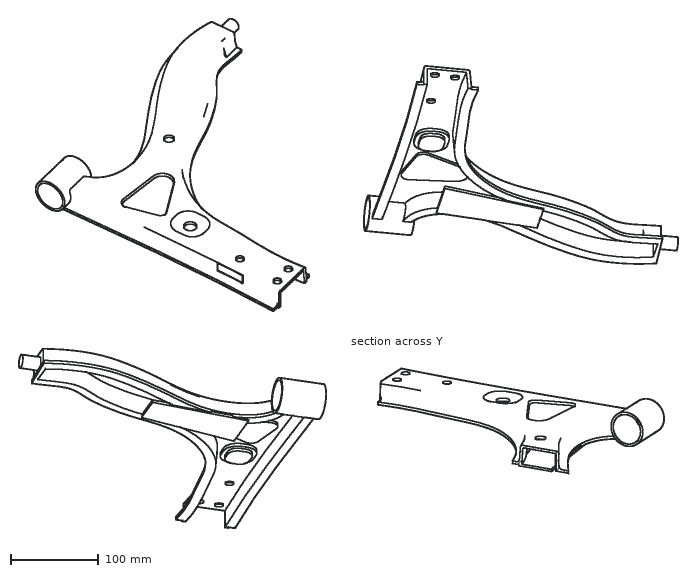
import cadquery as cq
import math


sheet = 3.5
top_z = 9.7
flange_top_z = -11.5
flange_bottom_z = flange_top_z - sheet
top_radius = 3.0
root_radius = 3.2

tube_x = 32.5
tube_radius = 20.5
tube_wall = 3.0
tube_length = 52.5

heel_x = 45.8
arm_end_y = 338.8
body_end_x = 345.5
flange_end_x = 343.8

inner_edge = [
    (7.0, 341.3), (0.5, 305.3), (3.0, 265.5), (13.7, 233.0), (33.5, 192.8),
    (54.5, 156.5), (66.5, 127.5), (71.5, 96.2), (66.5, 71.0), (heel_x, 49.0),
]
front_edge = [(heel_x, 3.5), (144, 5.5), (270.3, 5.0), (flange_end_x, 2.0)]
outer_edge = [
    (flange_end_x, 73.5), (274.3, 74.5), (243.3, 78.2), (214.5, 81.0), (183.0, 90.8), (156.8, 108.5),
    (130.0, 139.5), (117.0, 167.2), (110.0, 192.5), (101.3, 220.2), (92.0, 242.0), (79.5, 263.5),
    (69.0, 278.0), (60.5, 293.5), (59.5, 312.5), (61.0, arm_end_y),
]

inner_inset = 10.5
front_inset = 8.0
outer_inset_base = 8.0
outer_inset_top = 10.0

pin_x = 34.0
pin_z = -3.0
pin_radius = 8.0
pin_tip_y = 360.5

sheet_holes = [(93.5, 149.2, 12.3), (332.0, 48.5, 9.7), (333.5, 25.0, 9.7), (276.8, 30.5, 9.7)]

dish_x, dish_y = 196.5, 45.8
dish_length, dish_width = 43.2, 39.0
dish_corner_radius = 16.5
dish_depth = 3.5
dish_slope_run = 5.0
dish_floor_radius = 3.0
dish_hole_radius = 7.5

pocket_corners = [(129.0, 85.5, 14.0), (118.0, 34.5, 8.3), (156.0, 43.5, 7.5)]
pocket_depth = 3.0
pocket_taper = 25

plate_drop = 1.5
plate_outline = [(61.5, 192.8), (102.7, 192.8), (128.0, 73.5), (73.0, 73.5)]

shoulder_length = 20.5
shoulder_top_x = 47.5
shoulder_base_x = 54.5

pad_start_x, pad_bend_x, pad_end_x = 257.5, 281.5, 294.0
pad_bottom_z = -5.0
pad_face_y = 12.3
pad_end_y = 11.0


def inset(points, distance):
    """Points moved to the left of the walking direction."""
    moved = []
    last = len(points) - 1
    for i, (x, y) in enumerate(points):
        before = points[max(i - 1, 0)]
        after = points[min(i + 1, last)]
        dx, dy = after[0] - before[0], after[1] - before[1]
        length = math.hypot(dx, dy)
        moved.append((x - distance * dy / length, y + distance * dx / length))
    return moved


def outline(z, inner, front, outer, end_x=None, end_y=None):
    """Closed plan wire at height z, inset from the three flange edges."""
    inner_points = inset(inner_edge, inner)
    front_points = inset(front_edge, front)
    outer_points = inset(outer_edge, outer)
    inner_points[-1] = (heel_x, inner_points[-1][1])
    front_points[0] = (heel_x, front_points[0][1])
    if end_x is not None:
        front_points[-1] = (end_x, front_points[-1][1])
        outer_points[0] = (end_x, outer_points[0][1])
    if end_y is not None:
        inner_points[0] = (inner_points[0][0], end_y)
        outer_points[-1] = (outer_points[-1][0], end_y)
    return (
        cq.Workplane("XY", origin=(0, 0, z))
        .moveTo(*inner_points[0]).spline(inner_points[1:], includeCurrent=True)
        .lineTo(*front_points[0]).spline(front_points[1:], includeCurrent=True)
        .lineTo(*outer_points[0]).spline(outer_points[1:], includeCurrent=True)
        .close()
    )


def hat(skin, bottom_z, end_x, end_y):
    """Solid hat body; skin is how far it lies inside the outer surface."""
    base = outline(bottom_z, inner_inset + skin, front_inset + skin, outer_inset_base + skin, end_x, end_y)
    top = outline(top_z - skin, inner_inset + skin, front_inset + skin, outer_inset_top + skin, end_x, end_y)
    return cq.Workplane(cq.Solid.makeLoft([base.wires().val(), top.wires().val()], True))


def root_edge(body, edge_points, distance):
    """The edge where one side wall meets the flange."""
    x, y = inset(edge_points, distance)[len(edge_points) // 2]
    on_wall = cq.Vertex.makeVertex(x, y, flange_top_z)
    return min(body.edges("not %LINE").vals(), key=on_wall.distance)


def disc(x, y, z, radius, height):
    return cq.Workplane("XY", origin=(x, y, z)).circle(radius).extrude(height)


def dish_outline(z, margin):
    """Rounded oblong of the dish at height z, shrunk by margin all round."""
    return cq.Workplane("XY", origin=(dish_x, dish_y, z)).placeSketch(
        cq.Sketch()
        .rect(dish_length - 2 * margin, dish_width - 2 * margin)
        .vertices()
        .fillet(dish_corner_radius - margin)
    )


def rounded_triangle(z, extra):
    """Outline wrapped tightly round the three pocket corners, grown by extra."""
    points = []
    count = len(pocket_corners)
    for i, (x, y, radius) in enumerate(pocket_corners):
        next_x, next_y, next_radius = pocket_corners[(i + 1) % count]
        dx, dy = next_x - x, next_y - y
        heading = math.atan2(dy, dx)
        normal = heading - math.acos((radius - next_radius) / math.hypot(dx, dy))
        for cx, cy, r in ((x, y, radius + extra), (next_x, next_y, next_radius + extra)):
            points.append((cx + r * math.cos(normal), cy + r * math.sin(normal), normal))
    sketch = cq.Workplane("XY", origin=(0, 0, z)).moveTo(*points[0][:2])
    for i in range(count):
        arrive = points[2 * i + 1]
        leave = points[(2 * i + 2) % len(points)]
        cx, cy, radius = pocket_corners[(i + 1) % count]
        middle = arrive[2] + ((leave[2] - arrive[2]) % (2 * math.pi)) / 2
        mid_point = (cx + (radius + extra) * math.cos(middle), cy + (radius + extra) * math.sin(middle))
        sketch = sketch.lineTo(*arrive[:2]).threePointArc(mid_point, leave[:2])
    return sketch.close()


outer_body = hat(0, flange_bottom_z, body_end_x, arm_end_y)
outer_body = outer_body.faces(">Z").edges("not %LINE").fillet(top_radius)

flange = outline(flange_bottom_z, 0, 0, 0).extrude(sheet)
body = outer_body.union(flange)
wall_fraction = sheet / (top_z - flange_bottom_z)
outer_inset_root = outer_inset_base + wall_fraction * (outer_inset_top - outer_inset_base)
roots = [
    root_edge(body, inner_edge, inner_inset),
    root_edge(body, front_edge, front_inset),
    root_edge(body, outer_edge, outer_inset_root),
]
body = body.newObject(roots).fillet(root_radius)

shoulder = (
    cq.Workplane("XZ", origin=(0, arm_end_y, 0))
    .polyline([
        (shoulder_top_x, top_z),
        (shoulder_base_x, flange_top_z),
        (shoulder_top_x, flange_top_z),
    ])
    .close()
    .extrude(shoulder_length)
)
body = body.union(shoulder)

pad_back_y = pad_face_y + sheet
pad = (
    cq.Workplane("XY", origin=(0, 0, pad_bottom_z))
    .polyline([
        (pad_start_x, pad_back_y),
        (pad_start_x, pad_face_y),
        (pad_bend_x, pad_face_y),
        (pad_end_x, pad_end_y),
        (pad_end_x, pad_back_y),
    ])
    .close()
    .extrude(top_z - top_radius - pad_bottom_z)
)
body = body.union(pad)

below = 3.5
body = body.cut(hat(sheet, flange_bottom_z - below, body_end_x + below, arm_end_y - sheet))

dish_underside_z = top_z - dish_depth - sheet
backing_z = dish_underside_z - sheet
dish = dish_outline(top_z, 0).extrude(-dish_depth, taper=math.degrees(math.atan2(dish_slope_run, dish_depth)))
dish = dish.faces("<Z").edges().fillet(dish_floor_radius)
body = body.union(dish_outline(dish_underside_z, 0).extrude(dish_depth + sheet / 2))
body = body.union(dish_outline(backing_z, dish_slope_run).extrude(sheet))
body = body.cut(dish)
body = body.cut(disc(dish_x, dish_y, dish_underside_z, dish_hole_radius, sheet + dish_depth))

pocket_underside_z = top_z - pocket_depth - sheet
body = body.union(rounded_triangle(pocket_underside_z, sheet / 2).extrude(pocket_depth + sheet / 2))
body = body.cut(rounded_triangle(top_z, 0).extrude(-pocket_depth, taper=pocket_taper))

for hole_x, hole_y, diameter in sheet_holes:
    body = body.cut(disc(hole_x, hole_y, top_z - 2 * sheet, diameter / 2, 3 * sheet))

plate = (
    cq.Workplane("XY", origin=(0, 0, flange_bottom_z - plate_drop))
    .polyline(plate_outline)
    .close()
    .extrude(plate_drop + sheet / 2)
)
body = body.union(plate)

pin = (
    cq.Workplane("XZ", origin=(pin_x, arm_end_y - sheet, pin_z))
    .circle(pin_radius)
    .extrude(-(pin_tip_y - arm_end_y + sheet))
)
body = body.union(pin)

tube_plane = cq.Workplane("XZ", origin=(tube_x, 0, 0))
body = body.union(tube_plane.circle(tube_radius).extrude(-tube_length))
result = body.cut(tube_plane.circle(tube_radius - tube_wall).extrude(-tube_length))